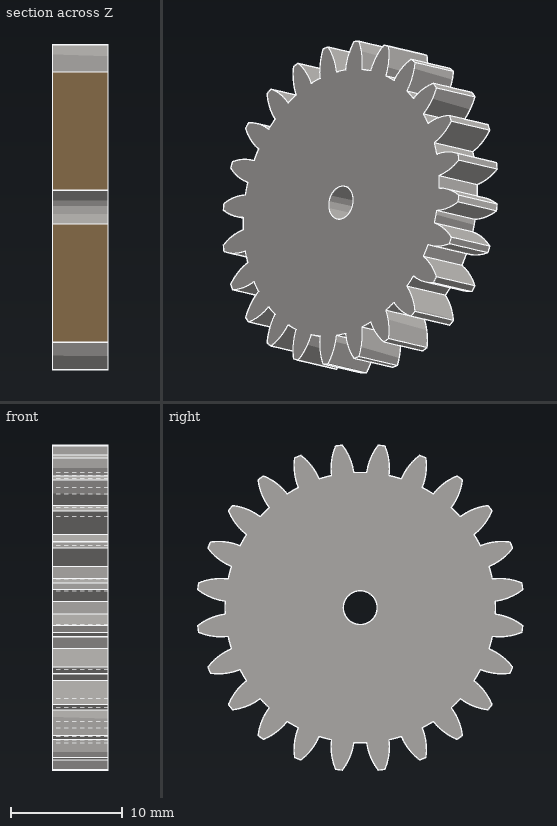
import cadquery as cq
import math

TEETH = 24
MODULE = 1.125
WIDTH = 5.0
BORE_DIAMETER = 3.0
ADDENDUM = MODULE
DEDENDUM = 1.25 * MODULE

ROOT_HALF_ANGLE = math.radians(4.82)
PITCH_HALF_ANGLE = math.radians(3.42)
TIP_HALF_ANGLE = math.radians(1.2)

pitch_radius = MODULE * TEETH / 2
tip_radius = pitch_radius + ADDENDUM
root_radius = pitch_radius - DEDENDUM

tooth_pitch = 2 * math.pi / TEETH
first_tooth_angle = tooth_pitch / 2


def polar(radius, angle):
    """Point of the YZ plane at a radius and an angle from +Y."""
    return (radius * math.cos(angle), radius * math.sin(angle))


def add_tooth(outline, angle):
    """Extend the outline over one tooth and the root gap that follows it."""
    root_end = polar(root_radius, angle + ROOT_HALF_ANGLE)
    gap_middle = polar(root_radius, angle + tooth_pitch / 2)
    next_tooth = polar(root_radius, angle + tooth_pitch - ROOT_HALF_ANGLE)
    rising_middle = polar(pitch_radius, angle - PITCH_HALF_ANGLE)
    falling_middle = polar(pitch_radius, angle + PITCH_HALF_ANGLE)
    tip_start = polar(tip_radius, angle - TIP_HALF_ANGLE)
    tip_end = polar(tip_radius, angle + TIP_HALF_ANGLE)

    outline = outline.threePointArc(rising_middle, tip_start)
    outline = outline.threePointArc(polar(tip_radius, angle), tip_end)
    outline = outline.threePointArc(falling_middle, root_end)
    return outline.threePointArc(gap_middle, next_tooth)


def gear_blank():
    """Toothed disc centred on the origin, its axis along X."""
    start = polar(root_radius, first_tooth_angle - ROOT_HALF_ANGLE)
    outline = cq.Workplane("YZ", origin=(-WIDTH / 2, 0, 0)).moveTo(*start)
    for i in range(TEETH):
        outline = add_tooth(outline, first_tooth_angle + i * tooth_pitch)
    return outline.close().extrude(WIDTH)


def cut_bore(body):
    """Shaft hole through the whole width."""
    return body.faces(">X").workplane(origin=(0, 0, 0)).hole(BORE_DIAMETER)


result = cut_bore(gear_blank())